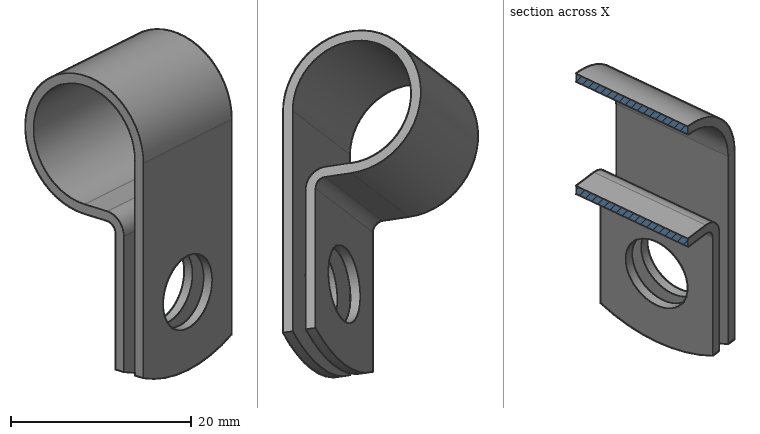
import cadquery as cq
import math

total_height = 36.05
width = 15.85
loop_radius = 8.35
thickness = 1.2
short_leg_face = 5.6
bend_inner_radius = 1.2
hole_diameter = 8.75
hole_drop = 18.25
tip_drop = 1.7

bore_radius = loop_radius - thickness
bend_outer_radius = bend_inner_radius + thickness
bend_x = short_leg_face - bend_outer_radius
bend_z = -bore_radius - bend_outer_radius
short_leg_back = short_leg_face - thickness
bottom_z = loop_radius - total_height
corner_z = bottom_z + tip_drop
half_width = width / 2
diagonal = math.sqrt(0.5)


def strip():
    """Bent strip: long leg, three-quarter loop, reverse bend and short leg."""
    return (
        cq.Workplane("XZ")
        .moveTo(loop_radius, bottom_z)
        .lineTo(loop_radius, 0)
        .threePointArc((-loop_radius * diagonal, loop_radius * diagonal), (0, -loop_radius))
        .lineTo(bend_x, -loop_radius)
        .threePointArc(
            (bend_x + bend_inner_radius * diagonal, bend_z + bend_inner_radius * diagonal),
            (short_leg_back, bend_z),
        )
        .lineTo(short_leg_back, bottom_z)
        .lineTo(short_leg_face, bottom_z)
        .lineTo(short_leg_face, bend_z)
        .threePointArc(
            (bend_x + bend_outer_radius * diagonal, bend_z + bend_outer_radius * diagonal),
            (bend_x, -bore_radius),
        )
        .lineTo(0, -bore_radius)
        .threePointArc((-bore_radius * diagonal, bore_radius * diagonal), (bore_radius, 0))
        .lineTo(bore_radius, bottom_z)
        .close()
        .extrude(half_width, both=True)
    )


def side_outline():
    """Block with the side silhouette: straight edges and a rounded lower end."""
    return (
        cq.Workplane("YZ")
        .moveTo(-half_width, loop_radius)
        .lineTo(-half_width, corner_z)
        .threePointArc((0, bottom_z), (half_width, corner_z))
        .lineTo(half_width, loop_radius)
        .close()
        .extrude(loop_radius, both=True)
    )


def bolt_hole():
    """Cylinder that passes through both legs."""
    return (
        cq.Workplane("YZ")
        .center(0, -hole_drop)
        .circle(hole_diameter / 2)
        .extrude(loop_radius)
    )


result = strip().intersect(side_outline()).cut(bolt_hole())